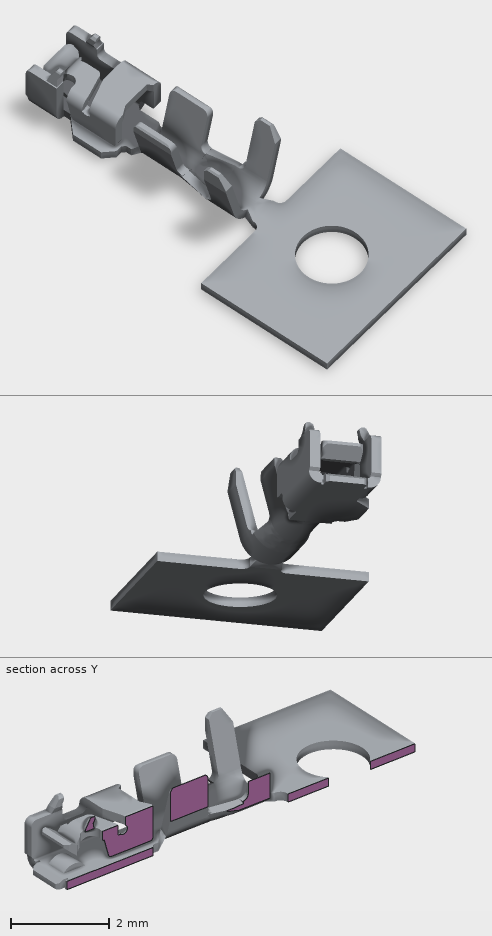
import cadquery as cq
import math

LENGTH = 9.2
SHEET = 0.2
CUT_SPAN = 5.52

PLATE_START = 5.9
PLATE_WIDTH = 4.5
HOLE_X = 7.5
HOLE_DIAMETER = 1.5
NECK_START = 5.7
NECK_HALF = 0.34
NECK_FILLET = 0.17

WALL_TILT = 15.0
WIRE_RADIUS = 0.46
WIRE_START = 2.84
WIRE_END = 3.84
WIRE_TOP = 1.435
WIRE_BEVEL_Z = 1.21
JACKET_RADIUS = 0.65
JACKET_START = 4.87
JACKET_END = 5.45
JACKET_TOP = 1.85
JACKET_BEVEL_Z = 1.45
WING_TIP_CHAMFER = 0.04
WING_CORNER = 0.15
WING_FOOT = 0.14
TROUGH_FLARE_START = 4.64
WIRE_ENTRY_ANGLE = 30.0
WIRE_EXIT_ANGLE = 6.0
JACKET_ENTRY_ANGLE = 27.0
JACKET_EXIT_ANGLE = 65.0

BOX_FRONT = 0.09
BOX_OUTER = 0.76
BOX_WALL = 0.22
BOX_TOP = 1.14
BOX_CORNER = 0.14
CHEEK_END = 0.9
INNER_BEND = 0.04
BEND = SHEET + INNER_BEND
ROOF_TOP = 1.19
ROOF_START = 1.51
BOX_END = 2.4
SIDE_FOOT_END = 2.015
SKIRT_BOTTOM = 0.37
FLAP_OUTER = 0.71
NOTCH_FLOOR = 0.865
SPRING_TOP = 1.06
SPRING_ARM_START = 0.92
SPRING_NECK_NEAR = -0.25
SPRING_NECK_FAR = 0.18
SPRING_TIP = 0.22
SPRING_BAR_END = 0.59
SPRING_SHOULDER_END = 0.75
SPRING_SHOULDER_HALF = 0.31
SPRING_LOW = 0.64
SPRING_CORNER = 0.08
RELIEF_X = 1.63
RELIEF_Z = 0.89
RELIEF_RADIUS = 0.1

FLOOR_END = 2.6
STRIP_HALF = 0.45
LIP_HALF = 0.43
LIP_EDGE = 0.12
LIP_BEVEL = 0.16
LIP_CORNER = 0.06
LIP_END = 0.37
LEDGE_OUTER = 0.9
BUMP_START = 0.3
BUMP_END = 0.86
BUMP_HALF = 0.25
BUMP_RISE = 0.14


def plan_slab(points, bottom, top):
    """Straight-sided outline in X-Y, extruded between two heights."""
    return cq.Workplane("XY").workplane(offset=bottom).polyline(points).close().extrude(top - bottom)


def block(x0, x1, y0, y1, z0, z1):
    return cq.Workplane("XY").box(x1 - x0, y1 - y0, z1 - z0, centered=False).translate((x0, y0, z0))


def on_ring(radius, centre_z, angle):
    """Point of a circle about the trough axis, the angle measured below horizontal on +Y."""
    turn = math.radians(angle)
    return (radius * math.cos(turn), centre_z - radius * math.sin(turn))


def mirrored(point):
    return (-point[0], point[1])


def fold_plane(x):
    return cq.Workplane("YZ", origin=(x, 0, 0))


def carrier_plate():
    plate_half = PLATE_WIDTH / 2
    plate = block(PLATE_START, LENGTH, -plate_half, plate_half, 0, SHEET)
    neck = block(NECK_START, PLATE_START, -NECK_HALF, NECK_HALF, 0, SHEET)
    hole = cq.Workplane("XY").center(HOLE_X, 0).circle(HOLE_DIAMETER / 2).extrude(SHEET)
    blank = plate.union(neck)
    reach = NECK_FILLET / 2
    corners = cq.selectors.BoxSelector(
        (PLATE_START - reach, -NECK_HALF - reach, 0), (PLATE_START + reach, NECK_HALF + reach, SHEET)
    )
    return blank.edges("|Z").edges(corners).fillet(NECK_FILLET).cut(hole)


def trough_section(work, radius, angle):
    """Curved strip section whose edges end at the given angle below horizontal."""
    inner = radius - SHEET
    outer_end = on_ring(radius, radius, angle)
    inner_end = on_ring(inner, radius, angle)
    return (
        work.moveTo(*mirrored(outer_end))
        .threePointArc((0, 0), outer_end)
        .lineTo(*inner_end)
        .threePointArc((0, SHEET), mirrored(inner_end))
        .close()
    )


def flat_section(work, half):
    return work.polyline([(-half, 0), (half, 0), (half, SHEET), (-half, SHEET)]).close()


def troughs():
    entry = flat_section(fold_plane(FLOOR_END), STRIP_HALF).workplane(offset=WIRE_START - FLOOR_END)
    entry = trough_section(entry, WIRE_RADIUS, WIRE_ENTRY_ANGLE).loft(ruled=True)

    flare = trough_section(fold_plane(WIRE_END), WIRE_RADIUS, WIRE_EXIT_ANGLE)
    flare = flare.workplane(offset=TROUGH_FLARE_START - WIRE_END)
    flare = trough_section(flare, JACKET_RADIUS, JACKET_ENTRY_ANGLE).loft(ruled=True)

    saddle = trough_section(fold_plane(TROUGH_FLARE_START), JACKET_RADIUS, JACKET_ENTRY_ANGLE)
    saddle = saddle.extrude(JACKET_START - TROUGH_FLARE_START)

    leaving = trough_section(fold_plane(JACKET_END), JACKET_RADIUS, JACKET_EXIT_ANGLE)
    leaving = flat_section(leaving.workplane(offset=NECK_START - JACKET_END), NECK_HALF).loft(ruled=True)
    return entry.union(flare).union(saddle).union(leaving)


def wing_channel(radius, bevel_z, top, start, end):
    """U channel with leaning wings whose tips are coined upright on the outside."""
    lean = math.tan(math.radians(WALL_TILT))
    outer_foot = on_ring(radius, radius, WALL_TILT)
    inner_foot = on_ring(radius - SHEET, radius, WALL_TILT)
    outer_y = outer_foot[0] + (bevel_z - outer_foot[1]) * lean
    inner_y = inner_foot[0] + (top - inner_foot[1]) * lean
    tip = [
        (outer_y, bevel_z),
        (outer_y, top - WING_TIP_CHAMFER),
        (outer_y - WING_TIP_CHAMFER, top),
        (inner_y, top),
        inner_foot,
    ]
    profile = fold_plane(start).moveTo(*mirrored(outer_foot)).threePointArc((0, 0), outer_foot)
    for point in tip:
        profile = profile.lineTo(*point)
    profile = profile.threePointArc((0, SHEET), mirrored(inner_foot))
    for point in reversed(tip[:-1]):
        profile = profile.lineTo(*mirrored(point))
    return profile.close().extrude(end - start)


def wire_crimp():
    foot_z = on_ring(WIRE_RADIUS - SHEET, WIRE_RADIUS, WIRE_EXIT_ANGLE)[1]
    channel = wing_channel(WIRE_RADIUS, WIRE_BEVEL_Z, WIRE_TOP, WIRE_START, WIRE_END + WING_FOOT)
    outline = (
        cq.Workplane("XZ")
        .moveTo(WIRE_START, 0)
        .lineTo(WIRE_START, WIRE_TOP - WING_CORNER)
        .radiusArc((WIRE_START + WING_CORNER, WIRE_TOP), WING_CORNER)
        .lineTo(WIRE_END - WING_CORNER, WIRE_TOP)
        .radiusArc((WIRE_END, WIRE_TOP - WING_CORNER), WING_CORNER)
        .lineTo(WIRE_END, foot_z + WING_FOOT)
        .radiusArc((WIRE_END + WING_FOOT, foot_z), -WING_FOOT)
        .lineTo(WIRE_END, 0)
        .close()
        .extrude(CUT_SPAN, both=True)
    )
    return channel.intersect(outline)


def jacket_crimp():
    front_corner = 0.12
    rear_slope = 0.21
    rear_shoulder_z = 1.51
    foot_z = on_ring(JACKET_RADIUS - SHEET, JACKET_RADIUS, JACKET_ENTRY_ANGLE)[1]
    channel = wing_channel(
        JACKET_RADIUS, JACKET_BEVEL_Z, JACKET_TOP, JACKET_START - WING_FOOT, JACKET_END
    )
    outline = (
        cq.Workplane("XZ")
        .moveTo(JACKET_START, 0)
        .lineTo(JACKET_START - WING_FOOT, foot_z)
        .radiusArc((JACKET_START, foot_z + WING_FOOT), -WING_FOOT)
        .lineTo(JACKET_START, JACKET_TOP - front_corner)
        .lineTo(JACKET_START + front_corner, JACKET_TOP)
        .lineTo(JACKET_END - rear_slope, JACKET_TOP)
        .lineTo(JACKET_END, rear_shoulder_z)
        .lineTo(JACKET_END, 0)
        .close()
        .extrude(CUT_SPAN, both=True)
    )
    return channel.intersect(outline)


def floor():
    edge = BOX_OUTER - BEND
    ledge_start = 1.07
    ledge_rear = 2.18
    ledge_run = LEDGE_OUTER - edge
    rear_corner = BOX_END - ledge_rear
    sheet = plan_slab(
        [
            (BOX_FRONT + LIP_BEVEL, -edge),
            (ledge_start, -edge),
            (ledge_start + ledge_run, -LEDGE_OUTER),
            (ledge_rear, -LEDGE_OUTER),
            (BOX_END, -LEDGE_OUTER + rear_corner),
            (BOX_END, -edge),
            (BOX_END + edge - STRIP_HALF, -STRIP_HALF),
            (FLOOR_END, -STRIP_HALF),
            (FLOOR_END, STRIP_HALF),
            (SIDE_FOOT_END + edge - STRIP_HALF, STRIP_HALF),
            (SIDE_FOOT_END, edge),
            (BOX_FRONT + LIP_BEVEL, edge),
        ],
        0,
        SHEET,
    )
    lip = (
        cq.Workplane("XZ")
        .polyline([(0, 0), (0, LIP_EDGE), (LIP_BEVEL, SHEET), (LIP_END, SHEET), (LIP_END, 0)])
        .close()
        .extrude(LIP_HALF, both=True)
        .edges("|Z and <X")
        .chamfer(LIP_CORNER)
    )
    bump = (
        cq.Workplane("XZ")
        .moveTo(BUMP_START, SHEET)
        .threePointArc(((BUMP_START + BUMP_END) / 2, SHEET + BUMP_RISE), (BUMP_END, SHEET))
        .close()
        .extrude(BUMP_HALF, both=True)
    )
    return sheet.union(lip).union(bump)


def folded_wall():
    """+Y side wall with the bend that joins it to the floor, over the whole box length."""
    inner = BOX_OUTER - BOX_WALL
    return (
        fold_plane(0)
        .moveTo(BOX_OUTER - BEND, 0)
        .radiusArc((BOX_OUTER, BEND), -BEND)
        .lineTo(BOX_OUTER, ROOF_TOP)
        .lineTo(inner, ROOF_TOP)
        .lineTo(inner, SHEET + INNER_BEND)
        .radiusArc((inner - INNER_BEND, SHEET), INNER_BEND)
        .lineTo(BOX_OUTER - BEND - INNER_BEND, SHEET)
        .lineTo(BOX_OUTER - BEND - INNER_BEND, 0)
        .close()
        .extrude(BOX_END)
    )


def cheek_outline():
    """Open side outline up the front edge of a cheek and back along its top."""
    heel = 0.06
    heel_x = BOX_FRONT + heel
    return (
        cq.Workplane("XZ")
        .moveTo(heel_x, 0)
        .lineTo(heel_x, BEND)
        .lineTo(BOX_FRONT, BEND + heel)
        .lineTo(BOX_FRONT, BOX_TOP - BOX_CORNER)
        .radiusArc((BOX_FRONT + BOX_CORNER, BOX_TOP), BOX_CORNER)
        .lineTo(CHEEK_END, BOX_TOP)
    )


def near_cheek():
    trim = cheek_outline().lineTo(CHEEK_END, 0).close().extrude(CUT_SPAN, both=True)
    return folded_wall().mirror("XZ").intersect(trim)


def far_wall():
    notch_corner = 0.11
    skirt_corner = 0.06
    trim = (
        cheek_outline()
        .lineTo(CHEEK_END, NOTCH_FLOOR + notch_corner)
        .radiusArc((CHEEK_END + notch_corner, NOTCH_FLOOR), -notch_corner)
        .lineTo(ROOF_START - notch_corner, NOTCH_FLOOR)
        .radiusArc((ROOF_START, NOTCH_FLOOR + notch_corner), -notch_corner)
        .lineTo(ROOF_START, ROOF_TOP - BEND)
        .lineTo(BOX_END, ROOF_TOP - BEND)
        .lineTo(BOX_END, SKIRT_BOTTOM + skirt_corner)
        .radiusArc((BOX_END - skirt_corner, SKIRT_BOTTOM), skirt_corner)
        .lineTo(SIDE_FOOT_END + skirt_corner, SKIRT_BOTTOM)
        .lineTo(SIDE_FOOT_END, SKIRT_BOTTOM - skirt_corner)
        .lineTo(SIDE_FOOT_END, 0)
        .close()
        .extrude(CUT_SPAN, both=True)
    )
    return folded_wall().intersect(trim)


def prong():
    """Latch prong on the +Y cheek, swept back and leaning inwards."""
    tip_z = 1.5
    tip_depth = 0.1
    waist_z = 1.32
    tip_round = 0.03
    knee_z = 1.27
    root_z = 1.09
    inner_y = 0.49
    tip_outer_y = 0.64
    root_inner_y = BOX_OUTER - BOX_WALL
    root_outer_y = 0.74
    root_front = 0.61
    knee_front = 0.65
    tip_front = 0.79
    waist_rear = 0.86
    root_rear = 0.88
    side = (
        cq.Workplane("XZ")
        .polyline(
            [
                (root_front, root_z),
                (root_front, BOX_TOP),
                (knee_front, knee_z),
                (tip_front, tip_z),
                (CHEEK_END, tip_z),
                (CHEEK_END, tip_z - tip_depth),
                (waist_rear, waist_z),
                (root_rear, BOX_TOP),
                (root_rear, root_z),
            ]
        )
        .close()
        .extrude(CUT_SPAN, both=True)
    )
    lean = (
        fold_plane(0)
        .polyline(
            [
                (root_inner_y, root_z),
                (root_outer_y, root_z),
                (root_outer_y, BOX_TOP),
                (tip_outer_y, tip_z - tip_round),
                (tip_outer_y - tip_round, tip_z),
                (inner_y + 2 * tip_round, tip_z),
                (inner_y, tip_z - 2 * tip_round),
                (inner_y, knee_z),
                (root_inner_y, BOX_TOP),
            ]
        )
        .close()
        .extrude(BOX_END)
    )
    return lean.intersect(side)


def roof():
    """Roof folded over from the +Y wall and down again on the -Y side."""
    far_inner = BOX_OUTER - BOX_WALL
    flap_inner = FLAP_OUTER - SHEET
    underside = ROOF_TOP - SHEET
    fold_z = ROOF_TOP - BEND
    shell = (
        fold_plane(0)
        .moveTo(BOX_OUTER, fold_z)
        .radiusArc((BOX_OUTER - BEND, ROOF_TOP), -BEND)
        .lineTo(BEND - FLAP_OUTER, ROOF_TOP)
        .radiusArc((-FLAP_OUTER, fold_z), -BEND)
        .lineTo(-FLAP_OUTER, SKIRT_BOTTOM)
        .lineTo(-flap_inner, SKIRT_BOTTOM)
        .lineTo(-flap_inner, fold_z)
        .radiusArc((INNER_BEND - flap_inner, underside), INNER_BEND)
        .lineTo(far_inner - INNER_BEND, underside)
        .radiusArc((far_inner, fold_z), INNER_BEND)
        .close()
        .extrude(BOX_END)
    )
    rear_edge = 2.28
    slant_end = 1.665
    flap_front = 1.72
    scoop_near = -0.24
    plan = plan_slab(
        [
            (ROOF_START, BOX_OUTER),
            (ROOF_START, 0),
            (slant_end, BEND - FLAP_OUTER),
            (flap_front, -FLAP_OUTER),
            (BOX_END, -FLAP_OUTER),
            (BOX_END, BEND - FLAP_OUTER),
            (rear_edge, scoop_near),
            (rear_edge, STRIP_HALF),
            (BOX_END, BOX_OUTER - BEND),
            (BOX_END, BOX_OUTER),
        ],
        SPRING_TOP - BEND,
        ROOF_TOP,
    )
    return shell.intersect(plan.union(flap_trim()))


def flap_trim():
    """Side outline of the hanging flap below both folds."""
    fold_z = SPRING_TOP - BEND
    front_top = 1.13
    front_low = 1.23
    front_corner = 0.09
    rear_corner = 0.06
    return (
        cq.Workplane("XZ")
        .moveTo(front_top, fold_z)
        .lineTo(front_low, SKIRT_BOTTOM + front_corner)
        .radiusArc((front_low + front_corner, SKIRT_BOTTOM), -front_corner)
        .lineTo(BOX_END - rear_corner, SKIRT_BOTTOM)
        .radiusArc((BOX_END, SKIRT_BOTTOM + rear_corner), -rear_corner)
        .lineTo(BOX_END, fold_z)
        .close()
        .extrude(CUT_SPAN)
    )


def spring_arm():
    """Arm folded inwards from the flap, below the roof."""
    flap_inner = FLAP_OUTER - SHEET
    underside = SPRING_TOP - SHEET
    fold_z = SPRING_TOP - BEND
    shell = (
        fold_plane(0)
        .moveTo(LIP_HALF, SPRING_TOP)
        .lineTo(BEND - FLAP_OUTER, SPRING_TOP)
        .radiusArc((-FLAP_OUTER, fold_z), -BEND)
        .lineTo(-flap_inner, fold_z)
        .radiusArc((INNER_BEND - flap_inner, underside), INNER_BEND)
        .lineTo(LIP_HALF, underside)
        .close()
        .extrude(BOX_END)
    )
    near_fold = BEND - FLAP_OUTER
    far_corner = 0.13
    far_corner_end = 1.34
    rear_at_fold = 1.49
    rear_at_flap = 1.52
    front_at_fold = 1.08
    front_at_flap = 1.11
    scoop = (1.03, -0.3)
    plan = (
        cq.Workplane("XY")
        .moveTo(SPRING_ARM_START, SPRING_NECK_FAR)
        .lineTo(far_corner_end - far_corner, SPRING_NECK_FAR)
        .radiusArc((far_corner_end, SPRING_NECK_FAR - far_corner), far_corner)
        .lineTo(rear_at_fold, near_fold)
        .lineTo(rear_at_flap, -FLAP_OUTER)
        .lineTo(front_at_flap, -FLAP_OUTER)
        .lineTo(front_at_fold, near_fold)
        .threePointArc(scoop, (SPRING_ARM_START, SPRING_NECK_NEAR))
        .close()
        .extrude(ROOF_TOP)
    )
    return shell.intersect(plan)


def spring_nose():
    """Wavy contact nose in front of the arm: a wide bar on a narrow neck."""
    underside = SPRING_TOP - SHEET
    bar_top = 0.97
    tip_top = 0.95
    tip_bottom = 0.88
    valley = 0.83
    crest_foot = 0.87
    crest_end = 0.37
    valley_start = 0.515
    keel_start = 0.5
    keel_end = 0.63
    neck_top_middle = (0.74, 0.99)
    neck_bottom_middle = (0.75, 0.8)
    wave = (
        cq.Workplane("XZ")
        .moveTo(SPRING_ARM_START, SPRING_TOP)
        .threePointArc(neck_top_middle, (SPRING_BAR_END, valley))
        .lineTo(valley_start, crest_foot)
        .lineTo(crest_end, bar_top)
        .lineTo(SPRING_TIP, tip_top)
        .lineTo(SPRING_TIP, tip_bottom)
        .lineTo(keel_start, SPRING_LOW)
        .lineTo(keel_end, SPRING_LOW)
        .threePointArc(neck_bottom_middle, (SPRING_ARM_START, underside))
        .close()
        .extrude(LIP_HALF, both=True)
    )
    bar = block(SPRING_TIP, SPRING_BAR_END, -LIP_HALF, LIP_HALF, 0, ROOF_TOP)
    bar = bar.edges("|Z").chamfer(SPRING_CORNER)
    shoulder = block(
        valley_start, SPRING_SHOULDER_END, -SPRING_SHOULDER_HALF, SPRING_SHOULDER_HALF, 0, ROOF_TOP
    )
    shoulder = shoulder.edges("|Z and >X").chamfer(SPRING_CORNER)
    neck = block(valley_start, SPRING_ARM_START, SPRING_NECK_NEAR, SPRING_NECK_FAR, 0, ROOF_TOP)
    return wave.intersect(bar.union(shoulder).union(neck))


def relief_hole():
    return (
        cq.Workplane("XZ", origin=(0, BEND - FLAP_OUTER, 0))
        .center(RELIEF_X, RELIEF_Z)
        .circle(RELIEF_RADIUS)
        .extrude(LEDGE_OUTER)
    )


latch = prong()
folded_roof = roof().union(spring_arm()).union(spring_nose()).cut(relief_hole())
contact_box = floor().union(far_wall()).union(near_cheek()).union(folded_roof)
contact_box = contact_box.union(latch).union(latch.mirror("XZ"))
result = contact_box.union(troughs()).union(wire_crimp()).union(jacket_crimp()).union(carrier_plate())